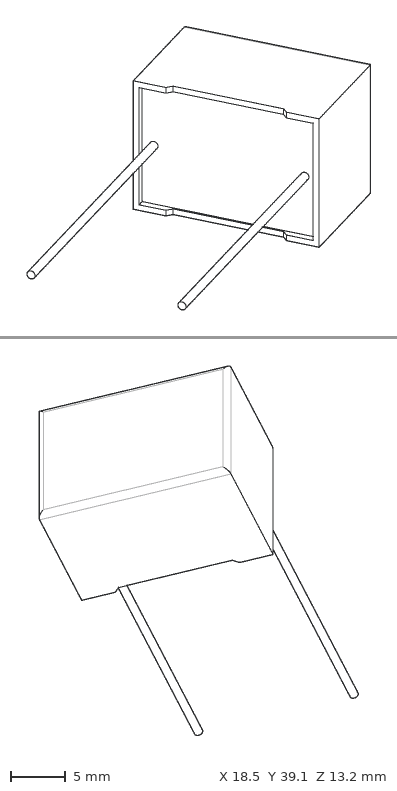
import cadquery as cq

CASE_WIDTH = 18.5
CASE_HEIGHT = 13.2
CASE_LENGTH = 12.1
WALL = 0.6
BACK_FILLET = 0.6

RELIEF_WIDTH = 12.0
RELIEF_DEPTH = 0.5

FILL_RECESS = 0.7
LEAD_DIAMETER = 0.82
LEAD_SPACING = 15.0
OVERALL_LENGTH = 39.1

LEAD_TIP_Y = CASE_LENGTH - OVERALL_LENGTH
CAVITY_WIDTH = CASE_WIDTH - 2 * WALL
CAVITY_HEIGHT = CASE_HEIGHT - 2 * WALL
CAVITY_END_Y = CASE_LENGTH - WALL


def block(width, height, start_y, end_y):
    """Box centred on X and Z, spanning start_y to end_y."""
    return cq.Workplane("XY").box(width, end_y - start_y, height).translate((0, (start_y + end_y) / 2, 0))


def rim_relief():
    """Trapezoid with 45 degree ends, cut through both rims along Z."""
    outer = RELIEF_WIDTH / 2
    inner = outer - RELIEF_DEPTH
    outline = [(-outer, 0), (-inner, RELIEF_DEPTH), (inner, RELIEF_DEPTH), (outer, 0)]
    return cq.Workplane("XY").polyline(outline).close().extrude(CASE_HEIGHT / 2, both=True)


def make_case():
    """Case with a rounded back edge, an open cavity and relieved rims."""
    shell = block(CASE_WIDTH, CASE_HEIGHT, 0, CASE_LENGTH).faces(">Y").edges().fillet(BACK_FILLET)
    cavity = block(CAVITY_WIDTH, CAVITY_HEIGHT, 0, CAVITY_END_Y)
    return shell.cut(cavity).cut(rim_relief())


def make_lead(x):
    """Straight wire ending flush against the face of the fill."""
    start = cq.Workplane("XZ", origin=(x, FILL_RECESS, 0))
    return start.circle(LEAD_DIAMETER / 2).extrude(FILL_RECESS - LEAD_TIP_Y)


case = make_case()
fill = block(CAVITY_WIDTH, CAVITY_HEIGHT, FILL_RECESS, CAVITY_END_Y)
leads = [make_lead(side * LEAD_SPACING / 2) for side in (-1, 1)]

result = cq.Compound.makeCompound([case.val(), fill.val(), *[lead.val() for lead in leads]])